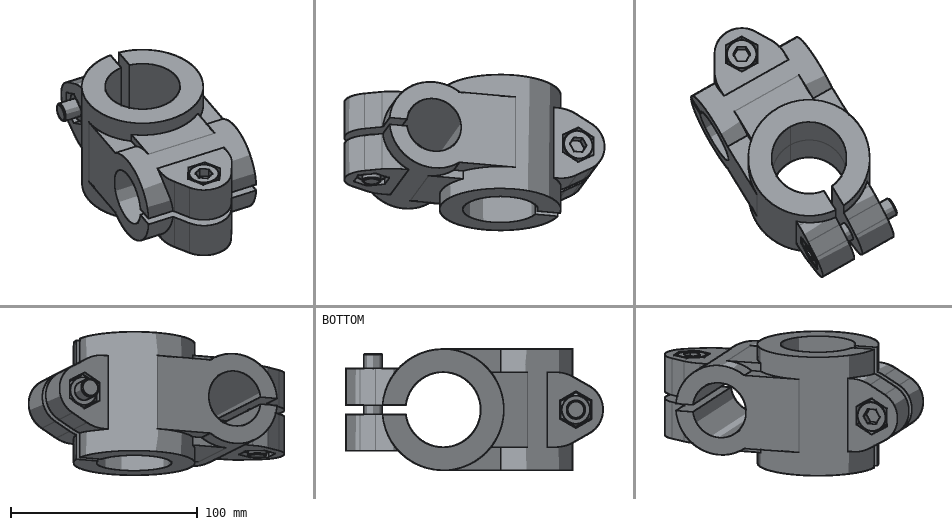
import cadquery as cq
import math

main_diameter = 65.0
main_bore = 40.0
main_slot = 5.0
main_bolt_x = -37.4

cross_x = 44.9
cross_diameter = 49.0
cross_bore = 30.0
cross_slot = 3.9
cross_bolt_x = 71.0

clamp_length = main_diameter

lug_half_width = 22.0
lug_root_radius = main_bore / 2
lug_nose_radius = 14.6
lug_root_offset = 11.0

hex_angle = math.radians(30)
bolt_diameter = 10.0
bolt_tip_chamfer = 0.7
bolt_head_diameter = 16.0
bolt_head_height = 10.0
bolt_head_chamfer = 0.2
socket_flats = 8.0
socket_depth = 5.0
main_bolt_tip = 30.0
cross_bolt_tip = 23.1
pocket_flats = 17.0
nut_flats = 16.0
nut_face_diameter = 15.0
nut_bevel_diameter = 15.5
nut_height = 8.0
nut_recess = 1.9
nut_chamfer_angle = math.radians(30)


def hexagon(flats, height, corners_along_x):
    """Upright hexagonal prism on the XY plane, centred on the Z axis."""
    prism = cq.Workplane("XY").polygon(6, flats / math.cos(hex_angle)).extrude(height)
    if corners_along_x:
        return prism
    return prism.rotate((0, 0, 0), (0, 0, 1), 90)


def lug():
    """Lug with its bolt axis on Z, its nose toward +X and its slot in the XY plane."""
    tangent_angle = math.acos((lug_root_radius - lug_nose_radius) / lug_root_offset)
    tangent_x = math.cos(tangent_angle)
    tangent_y = math.sin(tangent_angle)
    root_x = -lug_root_offset
    root_point = (root_x + lug_root_radius * tangent_x, lug_root_radius * tangent_y)
    nose_point = (lug_nose_radius * tangent_x, lug_nose_radius * tangent_y)
    root_mid = (
        root_x + lug_root_radius * math.cos((tangent_angle + math.pi / 2) / 2),
        lug_root_radius * math.sin((tangent_angle + math.pi / 2) / 2),
    )
    inner_x = root_x - lug_nose_radius / 2
    return (
        cq.Workplane("XY", origin=(0, 0, -lug_half_width))
        .moveTo(inner_x, -lug_root_radius)
        .lineTo(root_x, -lug_root_radius)
        .threePointArc((root_mid[0], -root_mid[1]), (root_point[0], -root_point[1]))
        .lineTo(nose_point[0], -nose_point[1])
        .threePointArc((lug_nose_radius, 0), nose_point)
        .lineTo(*root_point)
        .threePointArc(root_mid, (root_x, lug_root_radius))
        .lineTo(inner_x, lug_root_radius)
        .close()
        .extrude(2 * lug_half_width)
    )


def pockets():
    """Hexagonal pockets for the screw head (+Z side) and the nut (-Z side) of a lug."""
    head_seat = lug_half_width - bolt_head_height
    head_pocket = hexagon(pocket_flats, bolt_head_height, False).translate((0, 0, head_seat))
    nut_depth = nut_recess + nut_height
    nut_pocket = hexagon(pocket_flats, nut_depth, False).translate((0, 0, -lug_half_width))
    return head_pocket.union(nut_pocket)


def screw(tip):
    """Cap screw along Z, head flush with the +Z side of a lug, ending at Z = -tip."""
    head_seat = lug_half_width - bolt_head_height
    head = (
        cq.Workplane("XY", origin=(0, 0, head_seat))
        .circle(bolt_head_diameter / 2)
        .extrude(bolt_head_height)
        .faces(">Z")
        .chamfer(bolt_head_chamfer)
    )
    shank = (
        cq.Workplane("XY", origin=(0, 0, -tip))
        .circle(bolt_diameter / 2)
        .extrude(tip + head_seat)
        .faces("<Z")
        .chamfer(bolt_tip_chamfer)
    )
    socket = hexagon(socket_flats, socket_depth, True)
    socket = socket.translate((0, 0, lug_half_width - socket_depth))
    return head.union(shank).cut(socket)


def nut():
    """Hexagonal nut on the Z axis, its outer (-Z) face bevelled and its corners coned off."""
    blank = hexagon(nut_flats, nut_height, False)
    face_radius = nut_face_diameter / 2
    bevel_radius = nut_bevel_diameter / 2
    bevel_height = bevel_radius - face_radius
    cone_radius = bevel_radius + (nut_height - bevel_height) / math.tan(nut_chamfer_angle)
    envelope = (
        cq.Workplane("XZ")
        .moveTo(0, 0)
        .lineTo(face_radius, 0)
        .lineTo(bevel_radius, bevel_height)
        .lineTo(cone_radius, nut_height)
        .lineTo(0, nut_height)
        .close()
        .revolve(360, (0, 0, 0), (0, 1, 0))
    )
    return blank.intersect(envelope).translate((0, 0, nut_recess - lug_half_width))


def fastener(tip):
    """Screw and its nut."""
    return screw(tip).union(nut())


def place_on_main(shape):
    """Turn a lug shape so that its nose points to -X and its screw head to +Y."""
    turned = shape.rotate((0, 0, 0), (1, 0, 0), -90).mirror("YZ")
    return turned.translate((main_bolt_x, 0, 0))


def place_on_cross(shape):
    """Move a lug shape to the cross clamp, nose to +X and screw head to +Z."""
    return shape.translate((cross_bolt_x, 0, 0))


def main_cylinder(diameter):
    return cq.Workplane("XY").circle(diameter / 2).extrude(clamp_length / 2, both=True)


def cross_cylinder(diameter):
    return (
        cq.Workplane("XZ", origin=(cross_x, 0, 0))
        .circle(diameter / 2)
        .extrude(clamp_length / 2, both=True)
    )


def bridge(width, height):
    """Block joining the axes of the two clamps."""
    return cq.Workplane("XY").box(cross_x, width, height).translate((cross_x / 2, 0, 0))


body = (
    main_cylinder(main_diameter)
    .union(cross_cylinder(cross_diameter))
    .union(bridge(clamp_length, main_bore))
    .union(bridge(main_bore, cross_diameter))
    .union(place_on_main(lug()))
    .union(place_on_cross(lug()))
)

body = body.cut(main_cylinder(main_bore)).cut(cross_cylinder(cross_bore))

slot_length = clamp_length
main_slot_block = (
    cq.Workplane("XY")
    .box(slot_length, main_slot, clamp_length)
    .translate((-slot_length / 2, 0, 0))
)
cross_slot_block = (
    cq.Workplane("XY")
    .box(slot_length, clamp_length, cross_slot)
    .translate((cross_x + slot_length / 2, 0, 0))
)
body = body.cut(main_slot_block).cut(cross_slot_block)

body = body.cut(place_on_main(pockets())).cut(place_on_cross(pockets()))
fasteners = place_on_main(fastener(main_bolt_tip)).union(place_on_cross(fastener(cross_bolt_tip)))
result = body.union(fasteners)